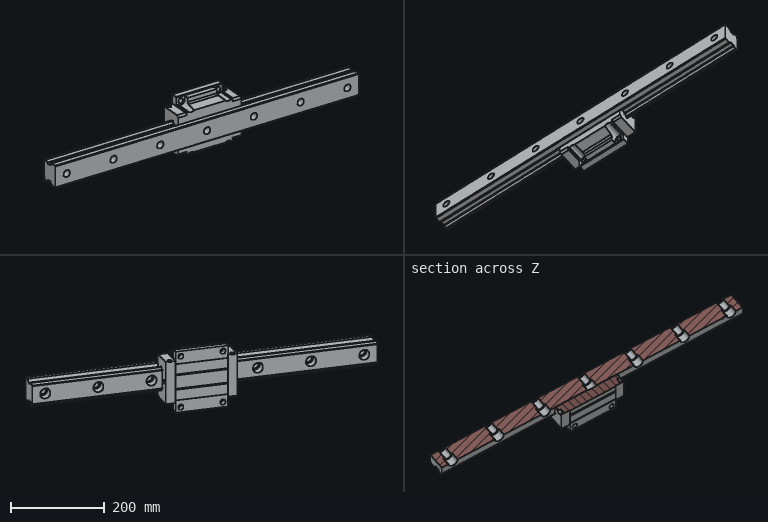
import cadquery as cq
import math


rail_length = 780.0
rail_top_x = 26.5
rail_base_x = 70.0
rail_half_width = 26.5
race_depth = 5.0
race_sag = 0.55
race_relief = 1.5
upper_race_end_x = 30.5
lower_race_start_x = 35.0
groove_depth = 6.6
groove_wall_x = 50.0
foot_start_x = groove_wall_x + groove_depth
base_chamfer = 1.5
bolt_count = 7
bolt_pitch = 120.0
bolt_hole_dia = 16.0
bolt_head_dia = 23.0
bolt_head_depth = 20.0

carriage_y = 15.5
body_length = 118.5
flange_half_width = 140.0 / 2
flange_thickness = 16.0
face_relief_half_width = 41.0
face_relief_depth = 1.0
face_groove_offset = 16.0
face_groove_width = 2.0
face_groove_depth = 1.95
carriage_end_x = 57.0
flange_chamfer = 1.5
core_half_width = 51.0
pad_root_half_width = 68.0
pad_tip_half_width = 67.0
pad_end_x = 28.0
pad_slope_width = 5.0
pad_slope_drop = 3.0
waist_half_width = 54.0
screw_hole_dia = 12.0
screw_spacing_y = 95.0
screw_spacing_z = 116.0
screw_slot_width = 20.0
screw_slot_length = 2 * screw_slot_width

carriage_length = 162.0
cap_start_x = 2.0
cap_half_width = 48.0
cap_chamfer = 5.0
cap_length = (carriage_length - body_length) / 2
end_port_depth = 8.0
end_port_dia = 8.5
end_port_x = 11.0
side_port_dia = 5.2
side_port_depth = 8.0
side_port_recess_dia = 8.5
side_port_recess_depth = 2.0
side_port_x = 8.0
side_port_y = 71.0


def prism(points, length):
    """Extrude an X-Z outline along Y, centred on Y = 0."""
    return cq.Workplane("XZ").polyline(points).close().extrude(length / 2, both=True)


def mirrored_outline(upper_points):
    """Close an outline by adding its mirror image across Z = 0."""
    return upper_points + [(x, -z) for x, z in reversed(upper_points)]


def race_middle(start, end):
    """Middle point of a shallow arc that bows to the right of the line from start to end."""
    run = end[0] - start[0]
    rise = end[1] - start[1]
    chord = math.hypot(run, rise)
    return (
        (start[0] + end[0]) / 2 + race_sag * rise / chord,
        (start[1] + end[1]) / 2 - race_sag * run / chord,
    )


def rail_half(length):
    """Upper half of the rail (Z > 0), with two hollow ball races on its head."""
    race_half_width = rail_half_width - race_depth
    floor_half_width = rail_half_width - groove_depth
    upper_start = (rail_top_x + race_relief / 2, race_half_width)
    upper_end = (upper_race_end_x, rail_half_width)
    lower_start = (lower_race_start_x, rail_half_width)
    lower_end = (lower_race_start_x + race_depth, race_half_width)
    floor_start_x = lower_end[0] + race_relief / 2
    return (
        cq.Workplane("XZ")
        .moveTo(rail_top_x, 0)
        .lineTo(rail_top_x, race_half_width - race_relief)
        .lineTo(*upper_start)
        .threePointArc(race_middle(upper_start, upper_end), upper_end)
        .lineTo(*lower_start)
        .threePointArc(race_middle(lower_start, lower_end), lower_end)
        .lineTo(floor_start_x, floor_half_width)
        .lineTo(groove_wall_x, floor_half_width)
        .lineTo(foot_start_x, rail_half_width)
        .lineTo(rail_base_x - base_chamfer, rail_half_width)
        .lineTo(rail_base_x, rail_half_width - base_chamfer)
        .lineTo(rail_base_x, 0)
        .close()
        .extrude(length / 2, both=True)
    )


def rail_bar(length):
    upper = rail_half(length)
    return upper.union(upper.mirror("XY")).clean()


def make_rail():
    first_bolt_y = -bolt_pitch * (bolt_count - 1) / 2
    bolt_points = [(first_bolt_y + i * bolt_pitch, 0) for i in range(bolt_count)]
    holes = (
        cq.Workplane("YZ", origin=(rail_top_x, 0, 0))
        .pushPoints(bolt_points)
        .circle(bolt_hole_dia / 2)
        .extrude(rail_base_x - rail_top_x)
    )
    head_recesses = (
        cq.Workplane("YZ", origin=(rail_top_x, 0, 0))
        .pushPoints(bolt_points)
        .circle(bolt_head_dia / 2)
        .extrude(bolt_head_depth)
    )
    return rail_bar(rail_length).cut(holes).cut(head_recesses)


def carriage_body():
    """Wide flange on a narrower straight core."""
    return prism(
        mirrored_outline([
            (0, flange_half_width),
            (flange_thickness - flange_chamfer, flange_half_width),
            (flange_thickness, flange_half_width - flange_chamfer),
            (flange_thickness, core_half_width),
            (carriage_end_x, core_half_width),
        ]),
        body_length,
    )


def flange_pads():
    """Thicker stretch between the screws, tapering down to the core."""
    return prism(
        mirrored_outline([
            (flange_thickness, pad_root_half_width),
            (pad_end_x, pad_tip_half_width),
            (pad_end_x, waist_half_width + pad_slope_drop),
            (pad_end_x + pad_slope_width, waist_half_width),
            (carriage_end_x, core_half_width),
        ]),
        screw_spacing_y,
    )


def screw_cuts():
    """Screw holes and the round-bottomed slots that clear the screws."""
    holes = (
        cq.Workplane("YZ")
        .rect(screw_spacing_y, screw_spacing_z, forConstruction=True)
        .vertices()
        .circle(screw_hole_dia / 2)
        .extrude(flange_thickness)
    )
    slot_spacing_z = screw_spacing_z + screw_slot_length - screw_slot_width
    slots = (
        cq.Workplane("YZ", origin=(flange_thickness, 0, 0))
        .rect(screw_spacing_y, slot_spacing_z, forConstruction=True)
        .vertices()
        .slot2D(screw_slot_length, screw_slot_width, 90)
        .extrude(carriage_end_x - flange_thickness)
    )
    return holes.union(slots)


def face_cuts():
    """Shallow relief across the mounting face with two narrow grooves in it."""
    relief = cq.Workplane("XY").box(
        2 * face_relief_depth, body_length, 2 * face_relief_half_width
    )
    groove = cq.Workplane("XY").box(2 * face_groove_depth, body_length, face_groove_width)
    for side in (-1, 1):
        relief = relief.union(groove.translate((0, 0, side * face_groove_offset)))
    return relief


def blind_hole(diameter, depth, center, direction):
    return cq.Workplane(cq.Solid.makeCylinder(diameter / 2, depth, center, direction))


def end_cap(side):
    """End cap on the Y side given by side (-1 or 1), with its lubrication ports."""
    cap = prism(
        mirrored_outline([
            (cap_start_x, cap_half_width),
            (carriage_end_x - cap_chamfer, cap_half_width),
            (carriage_end_x, cap_half_width - cap_chamfer),
        ]),
        cap_length,
    ).translate((0, side * (body_length + cap_length) / 2, 0))
    end_center = cq.Vector(end_port_x, side * carriage_length / 2, 0)
    cap = cap.cut(blind_hole(end_port_dia, end_port_depth, end_center, cq.Vector(0, -side, 0)))
    side_center = cq.Vector(side_port_x, side * side_port_y, cap_half_width)
    down = cq.Vector(0, 0, -1)
    cap = cap.cut(blind_hole(side_port_recess_dia, side_port_recess_depth, side_center, down))
    return cap.cut(blind_hole(side_port_dia, side_port_depth, side_center, down))


def make_carriage():
    body = carriage_body().union(flange_pads()).cut(screw_cuts()).cut(face_cuts())
    for side in (-1, 1):
        body = body.union(end_cap(side))
    return body.cut(rail_bar(carriage_length)).translate((0, carriage_y, 0))


rail = make_rail()
carriage = make_carriage()
result = cq.Compound.makeCompound([rail.solids().val(), carriage.solids().val()])